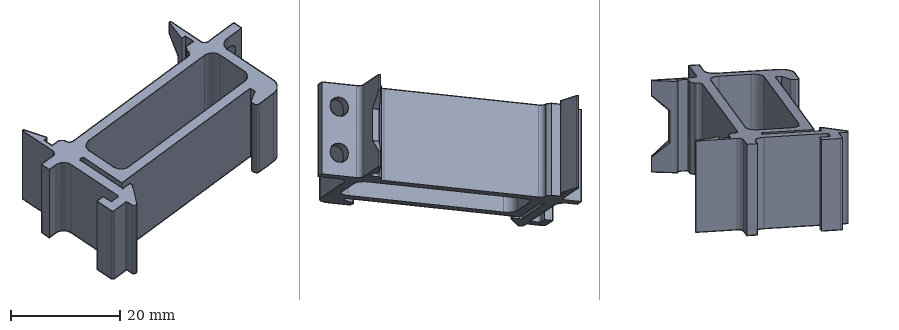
import cadquery as cq
import math

width = 28.5
length = 51.15
height = 17.5

wall = 2.0
plate_left = 8.65
plate_right = plate_left + wall
window_width = 10.05
body_right = plate_right + window_width + wall
body_top = length - 5.9
arm_bottom = 3.7
arm_top = arm_bottom + wall
slot_width = 0.9
slot_left = 12.8
slot_top = arm_top + slot_width
window_bottom = slot_top + wall
window_top = body_top - wall
body_radius = 2.0
slot_radius = 0.25

lower_clip_edge = 4.0
upper_clip_edge = 43.45
clip_middle = (lower_clip_edge + upper_clip_edge) / 2
lip_thickness = 0.9
barb_height = 1.85
barb_x = 4.6
boss_left = 6.65
boss_height = 2.7
boss_chamfer = 0.75
clip_radius = 0.95
barb_radius = 0.15
tip_thickness = 0.35

hook_right = body_right + 2 * wall
hook_inner_x = 23.85
hook_ceiling = length - 10.4
hook_tip_x = 25.2
hook_tip_y = length - 12.9
hook_outer_radius = 2.55
hook_tip_radius = 0.7

latch_top = 7.5
latch_flat = 0.65
latch_nose_y = 4.45
nose_radius = 0.25
nose_lower_radius = 0.45
foot_radius = 0.45
foot_thickness = 1.7
foot_left = body_right
grip_x = hook_right - wall
grip_radius = 0.3

hole_diameter = 3.6
hole_from_end = 3.4
hole_spacing = height / 2
notch_depth = 3.15
notch_outer = 11.65
notch_inner = 6.05


def rounded_outline(corners):
    """Closed wire through (x, y, radius) corners, each rounded by a tangent arc."""
    pieces = []
    for i, (x, y, radius) in enumerate(corners):
        corner = cq.Vector(x, y)
        to_last = (cq.Vector(*corners[i - 1][:2]) - corner).normalized()
        to_next = (cq.Vector(*corners[(i + 1) % len(corners)][:2]) - corner).normalized()
        if radius == 0:
            pieces.append((corner, None, corner))
            continue
        half_angle = to_last.getAngle(to_next) / 2
        setback = radius / math.tan(half_angle)
        bisector = (to_last + to_next).normalized()
        middle = corner + bisector * (radius / math.sin(half_angle) - radius)
        pieces.append((corner + to_last * setback, middle, corner + to_next * setback))

    start = pieces[0][0]
    outline = cq.Workplane("XY").moveTo(start.x, start.y)
    for i, (entry, middle, leave) in enumerate(pieces):
        if i > 0:
            outline = outline.lineTo(entry.x, entry.y)
        if middle is not None:
            outline = outline.threePointArc((middle.x, middle.y), (leave.x, leave.y))
    return outline.close()


def lower_clip():
    """Corners of the lower clip, from the plate below it to the plate above it."""
    edge = lower_clip_edge
    lip = edge + lip_thickness
    boss_top = edge + boss_height + boss_chamfer
    return [
        (plate_left, edge, clip_radius),
        (0, edge, 0),
        (0, edge + tip_thickness, 0),
        (barb_x, edge + barb_height, barb_radius),
        (barb_x, lip, 0),
        (boss_left, lip, 0),
        (boss_left, edge + boss_height, 0),
        (boss_left + boss_chamfer, boss_top, 0),
        (plate_left, boss_top, clip_radius),
    ]


def upper_clip():
    """Mirror of the lower clip, ordered to continue up the plate."""
    return [(x, 2 * clip_middle - y, radius) for x, y, radius in reversed(lower_clip())]


def hook():
    """Corners from the top of the body around the hook to the body side."""
    return [
        (plate_right, body_top, body_radius),
        (hook_right, body_top, hook_outer_radius),
        (hook_right, hook_tip_y, hook_tip_radius),
        (hook_tip_x, hook_tip_y, hook_tip_radius),
        (hook_inner_x, hook_ceiling, 0),
        (body_right, hook_ceiling, 0),
    ]


def latch():
    """Corners from the slot along the arm, around the latch and back to the plate."""
    return [
        (body_right, slot_top, 0),
        (slot_left, slot_top, slot_radius),
        (slot_left, arm_top, slot_radius),
        (hook_inner_x, arm_top, 0),
        (hook_inner_x, latch_top, 0),
        (hook_inner_x + latch_flat, latch_top, 0),
        (width, latch_nose_y, nose_radius),
        (width, arm_bottom, nose_lower_radius),
        (hook_right, arm_bottom, grip_radius),
        (hook_right, 0, foot_radius),
        (foot_left, 0, 0),
        (foot_left, foot_thickness, 0),
        (grip_x, foot_thickness, grip_radius),
        (grip_x, arm_bottom, grip_radius),
        (plate_right, arm_bottom, body_radius),
    ]


def profile():
    """Solid extrusion of the complete outer outline."""
    plate_lower_end = [(plate_right, 0, 0), (plate_left, 0, 0)]
    plate_upper_end = [(plate_left, length, 0), (plate_right, length, 0)]
    corners = plate_lower_end + lower_clip() + upper_clip() + plate_upper_end + hook() + latch()
    return rounded_outline(corners).extrude(height)


def window():
    """Rounded rectangular opening through the body."""
    right = plate_right + window_width
    return rounded_outline([
        (plate_right, window_bottom, body_radius),
        (right, window_bottom, body_radius),
        (right, window_top, body_radius),
        (plate_right, window_top, body_radius),
    ]).extrude(height)


def mounting_holes():
    """Two holes along X through the upper end of the plate and the fillet behind it."""
    hole_y = length - hole_from_end
    centers = [(hole_y, height / 2 + side * hole_spacing / 2) for side in (-1, 1)]
    plane = cq.Workplane("YZ", origin=(plate_left, 0, 0))
    return plane.pushPoints(centers).circle(hole_diameter / 2).extrude(wall + body_radius)


def clip_notch():
    """Tapered notch through the upper clip lip, narrowing away from its tip."""
    middle = height / 2
    return (
        cq.Workplane("XZ", origin=(0, upper_clip_edge, 0))
        .moveTo(0, middle - notch_outer / 2)
        .lineTo(notch_depth, middle - notch_inner / 2)
        .lineTo(notch_depth, middle + notch_inner / 2)
        .lineTo(0, middle + notch_outer / 2)
        .close()
        .extrude(barb_height)
    )


result = profile().cut(window()).cut(mounting_holes()).cut(clip_notch())